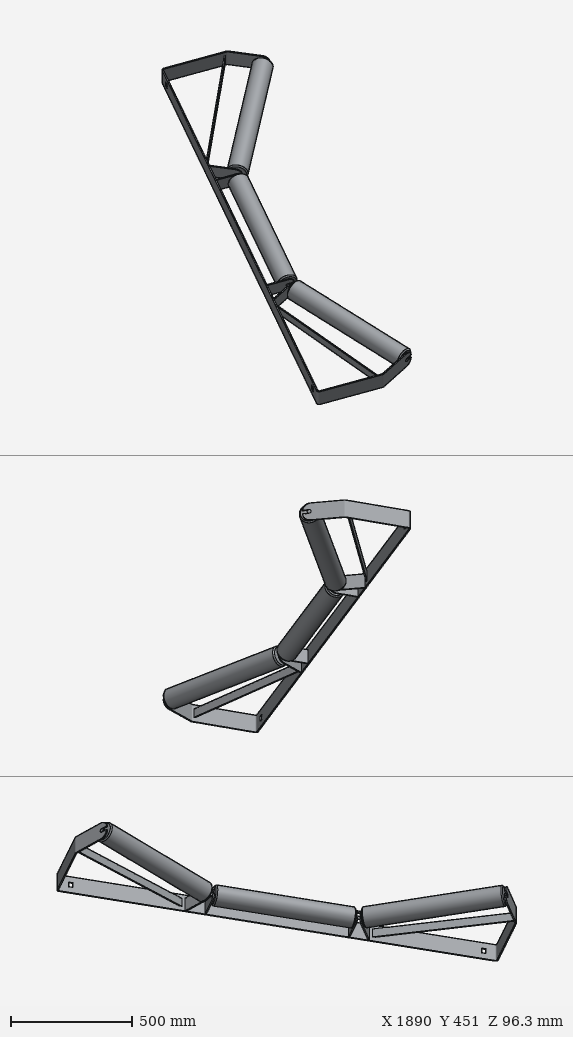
import cadquery as cq
import math

strip_height = 80.0
strip_thickness = 6.0
bend_radius = 5.0

frame_length = 1890.0
side_length = 290.0
arm_length = 180.0
arm_corner_radius = 34.0
arm_angle = 30.0
hole_width = 17.0
hole_height = 23.0
hole_inset = 60.0

roller_diameter = 89.0
roller_length = 601.0
roller_edge_chamfer = 5.0
shaft_radius = 8.5
arm_axis_distance = 151.0
middle_axis_y = 102.0

bracket_face_x = 305.0
bracket_foot_x = 395.0
bracket_reach = 130.0
bracket_strip_height = 65.0
bracket_corner_radius = 28.0

brace_height = 40.0
brace_thickness = 5.0
brace_side_y = 280.0
brace_foot_x = 408.0

cut_margin = 1.0

half_length = frame_length / 2
lean = math.radians(arm_angle)

roller_drop = (strip_height - bracket_strip_height) / 2

along_arm = cq.Vector(math.sin(lean), math.cos(lean), 0)
across_arm = cq.Vector(math.cos(lean), -math.sin(lean), 0)

arm_corner = cq.Vector(-half_length, side_length, 0)
bracket_foot = cq.Vector(-bracket_foot_x, strip_thickness, 0)
side_axis_start = arm_corner + along_arm * arm_axis_distance
side_axis_reach = (bracket_foot - side_axis_start).dot(across_arm) + strip_thickness
side_axis_end = side_axis_start + across_arm * side_axis_reach - cq.Vector(0, 0, roller_drop)
side_axis = side_axis_end - side_axis_start

middle_axis_end = cq.Vector(bracket_face_x + strip_thickness, middle_axis_y, -roller_drop)
middle_axis_start = cq.Vector(-middle_axis_end.x, middle_axis_y, -roller_drop)
middle_axis = middle_axis_end - middle_axis_start


def mirrored(body):
    """Copy on the other side of the frame centre."""
    return body.mirror("YZ")


def plan_prism(points, height):
    """Upright prism on a plan outline, centred on Z = 0."""
    return cq.Workplane("XY").polyline(points).close().extrude(height / 2, both=True)


def round_edge(body, point, radius):
    """Fillet the edge whose middle is nearest to a point."""
    return body.edges(cq.NearestToPointSelector(point)).fillet(radius)


def round_arm_corners(body, point):
    """Round the upper and lower corners of the arm tip that is centred on a point."""
    for z in (-strip_height / 2, strip_height / 2):
        body = round_edge(body, (point.x, point.y, z), arm_corner_radius)
    return body


def shaft_slot(centre, open_direction, axis):
    """Cutter for a round-bottomed shaft slot, open along open_direction."""
    plane = cq.Plane(centre, xDir=open_direction, normal=axis)
    run = strip_height
    half_depth = strip_thickness + cut_margin
    bottom = cq.Workplane(plane).circle(shaft_radius).extrude(half_depth, both=True)
    channel = cq.Workplane(plane).center(run / 2, 0).rect(run, 2 * shaft_radius)
    return bottom.union(channel.extrude(half_depth, both=True))


def make_frame():
    tip_outer = arm_corner + along_arm * arm_length
    tip_inner = tip_outer + across_arm * strip_thickness
    inner_x = -half_length + strip_thickness
    inner_arm_y = side_length - strip_thickness * math.tan(lean / 2)
    half = plan_prism(
        [
            (0, 0),
            (-half_length, 0),
            (-half_length, side_length),
            (tip_outer.x, tip_outer.y),
            (tip_inner.x, tip_inner.y),
            (inner_x, inner_arm_y),
            (inner_x, strip_thickness),
            (0, strip_thickness),
        ],
        strip_height,
    )

    outer_radius = bend_radius + strip_thickness
    half = round_edge(half, (-half_length, 0, 0), outer_radius)
    half = round_edge(half, (-half_length, side_length, 0), outer_radius)
    half = round_edge(half, (inner_x, strip_thickness, 0), bend_radius)
    half = round_edge(half, (inner_x, inner_arm_y, 0), bend_radius)

    half = round_arm_corners(half, (tip_outer + tip_inner) / 2)
    half = half.cut(shaft_slot(side_axis_start, along_arm, side_axis))

    hole = cq.Workplane("XY").box(hole_width, 2 * (strip_thickness + cut_margin), hole_height)
    half = half.cut(hole.translate((-half_length + hole_inset, 0, 0)))

    return half.union(mirrored(half))


def make_left_bracket():
    upright_inner_x = -bracket_face_x - strip_thickness
    leg_inner_x = -bracket_foot_x + strip_thickness / math.cos(lean)
    under_ridge_y = bracket_reach - strip_thickness
    ridge_x = -bracket_foot_x + under_ridge_y * math.tan(lean)
    under_ridge_x = leg_inner_x + (under_ridge_y - strip_thickness) * math.tan(lean)
    bracket = plan_prism(
        [
            (-bracket_face_x, strip_thickness),
            (-bracket_face_x, bracket_reach),
            (ridge_x, bracket_reach),
            (-bracket_foot_x, strip_thickness),
            (leg_inner_x, strip_thickness),
            (under_ridge_x, under_ridge_y),
            (upright_inner_x, under_ridge_y),
            (upright_inner_x, strip_thickness),
        ],
        bracket_strip_height,
    )

    envelope = cq.Workplane("XY").box(2 * bracket_foot_x, 2 * bracket_reach, bracket_strip_height)
    envelope = envelope.edges("|X and >Y").fillet(bracket_corner_radius)
    bracket = bracket.intersect(envelope).translate((0, 0, -roller_drop))

    bracket = bracket.cut(shaft_slot(side_axis_end, along_arm, side_axis))
    return bracket.cut(shaft_slot(middle_axis_start, cq.Vector(0, 1, 0), middle_axis))


def make_left_brace():
    side_x = -half_length + strip_thickness
    run = -brace_foot_x - side_x
    fall = brace_side_y - strip_thickness
    slant = math.hypot(run, fall)
    return plan_prism(
        [
            (side_x, brace_side_y),
            (side_x, brace_side_y - brace_thickness * slant / run),
            (-brace_foot_x - brace_thickness * slant / fall, strip_thickness),
            (-brace_foot_x, strip_thickness),
        ],
        brace_height,
    )


def make_roller(axis_start, axis):
    """Roller drum centred on a full-length shaft."""
    plane = cq.Plane(axis_start, normal=axis)
    drum_offset = (axis.Length - roller_length) / 2
    drum = cq.Workplane(plane).workplane(offset=drum_offset).circle(roller_diameter / 2).extrude(roller_length)
    drum = drum.edges("%CIRCLE").chamfer(roller_edge_chamfer)
    shaft = cq.Workplane(plane).circle(shaft_radius).extrude(axis.Length)
    return drum.union(shaft)


frame = make_frame()
middle_roller = make_roller(middle_axis_start, middle_axis)
bodies = [frame.val(), middle_roller.val()]

for left_body in (make_left_bracket(), make_left_brace(), make_roller(side_axis_start, side_axis)):
    bodies.append(left_body.val())
    bodies.append(mirrored(left_body).val())

result = cq.Compound.makeCompound(bodies)